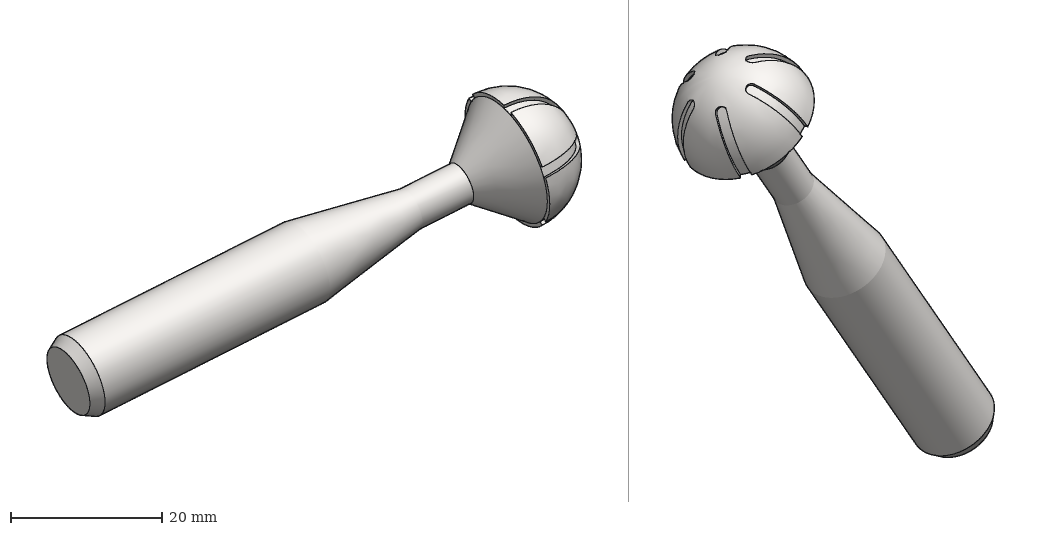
import cadquery as cq
import math

total_length = 80.6

dome_radius = 9.8
slot_count = 6
slot_width = 1.6
slot_floor_radius = 9.3
slot_end_height = 8.8
cutter_reach = dome_radius + 0.8

cone_base_radius = slot_floor_radius
cone_length = 7.5

neck_radius = 3.0
neck_length = 8.2
taper_length = 17.0
shank_radius = 6.0
chamfer_length = 1.8
chamfer_depth = 1.0

cone_end = -cone_length
neck_end = cone_end - neck_length
taper_end = neck_end - taper_length
shaft_end = dome_radius - total_length


def revolve_about_y(profile):
    """Turn a closed half-profile of (radius, Y) points into a solid about Y."""
    return profile.close().revolve(360, (0, 0, 0), (0, 1, 0))


def make_hemisphere(radius):
    half_arc = radius * 0.5**0.5
    profile = (
        cq.Workplane("XY")
        .lineTo(radius, 0)
        .threePointArc((half_arc, half_arc), (0, radius))
    )
    return revolve_about_y(profile)


def make_slot_cutter():
    """Slot on the +Z side, open at the flat face, with a spherical floor and a round end."""
    half_width = slot_width / 2
    end_angle = math.asin(slot_end_height / dome_radius) - math.asin(half_width / dome_radius)
    end_direction = cq.Vector(0, math.sin(end_angle), math.cos(end_angle))
    end_cylinder = cq.Solid.makeCylinder(half_width, cutter_reach, cq.Vector(0, 0, 0), end_direction)

    end_point = end_direction * cutter_reach
    mid_point = (
        cutter_reach * math.sin(end_angle / 2),
        cutter_reach * math.cos(end_angle / 2),
    )
    sector = (
        cq.Workplane("YZ")
        .lineTo(0, cutter_reach)
        .threePointArc(mid_point, (end_point.y, end_point.z))
        .close()
        .extrude(half_width, both=True)
    )
    return sector.union(cq.Workplane(end_cylinder)).cut(make_hemisphere(slot_floor_radius))


def make_dome():
    dome = make_hemisphere(dome_radius)
    cutter = make_slot_cutter()
    for index in range(slot_count):
        angle = index * 360 / slot_count
        dome = dome.cut(cutter.rotate((0, 0, 0), (0, 1, 0), angle))
    return dome


def make_cone():
    profile = cq.Workplane("XY").polyline(
        [(0, 0), (cone_base_radius, 0), (neck_radius, cone_end), (0, cone_end)]
    )
    return revolve_about_y(profile)


def make_shaft():
    """Neck, taper and shank with a chamfered free end."""
    profile = cq.Workplane("XY").polyline(
        [
            (0, cone_end),
            (neck_radius, cone_end),
            (neck_radius, neck_end),
            (shank_radius, taper_end),
            (shank_radius, shaft_end + chamfer_length),
            (shank_radius - chamfer_depth, shaft_end),
            (0, shaft_end),
        ]
    )
    return revolve_about_y(profile)


dome = make_dome()
cone = make_cone()
shaft = make_shaft()

result = cq.Compound.makeCompound([dome.val(), cone.val(), shaft.val()])